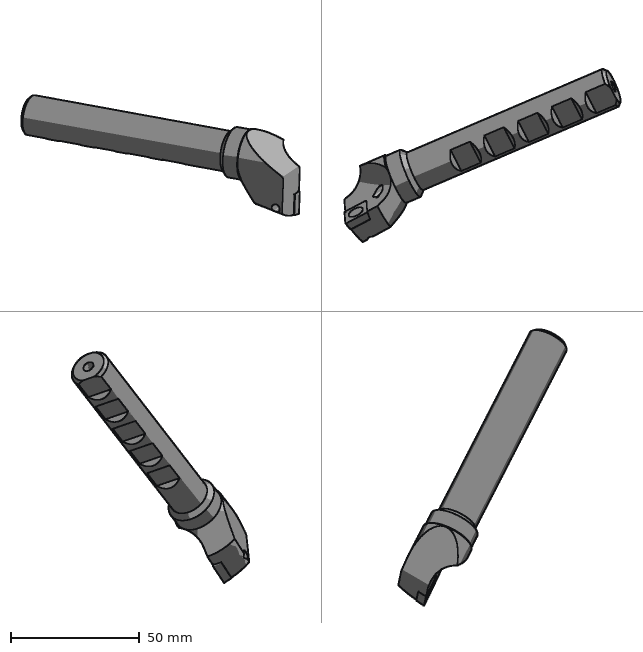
import cadquery as cq
import math


shank_radius = 16.0 / 2
rear_chamfer = 1.3
collar_radius = 20.0 / 2
collar_start = 85.0
collar_end = 93.0
collar_rise = collar_radius - shank_radius

channel_diameter = 3.3
channel_mouth = 4.4
channel_mouth_depth = 1.6
channel_bend_x = 89.7
channel_end = (101.7, 2.1, -10.4)

notch_count = 5
notch_pitch = 14.5
notch_depth = 1.7
notch_floor = 8.3
first_notch_end = 9.5

head_turn = -5.0
head_radius = 10.5
heel_x = 101.1
heel_radius = 18.3
nose_radius = 20.8
nose_x = 114.7
end_relief = 7.5
top_start_x = 93.6
top_slope = 30.6
top_lean = 8.5
top_corner_radius = 1.6

rake_y = 1.8
gullet_radius = 11.5
gullet_angle = 45.0
gullet_offset = 80.5

insert_tip_x = 115.0
insert_tip_z = -21.4
insert_side = 9.7
insert_nose_angle = 80.0
insert_thickness = 3.6
insert_clearance = 7.0
insert_corner_radius = 0.6

screw_diameter = 3.3
screw_head_diameter = 6.1
screw_head_height = (screw_head_diameter - screw_diameter) / 2
screw_length = 6.3

clear = 46.0

edge_rise = math.radians(90 - insert_nose_angle)
edge_dx = -insert_side * math.cos(edge_rise)
edge_dz = insert_side * math.sin(edge_rise)
insert_center_x = insert_tip_x + edge_dx / 2
insert_center_z = insert_tip_z + (insert_side + edge_dz) / 2


def turn_head(shape):
    """Turn a shape about the bar axis from the upright layout to its final position."""
    return shape.rotate((0, 0, 0), (1, 0, 0), head_turn)


def upright_plane(x, y, z):
    """Plane parallel to XZ whose normal is +Y, with local x along -X and local y along Z."""
    return cq.Plane(origin=(x, y, z), xDir=(-1, 0, 0), normal=(0, 1, 0))


def make_shank():
    """Turned shank with a chamfered rear end and a conical rise to the collar."""
    outline = [
        (0, 0),
        (0, shank_radius - rear_chamfer),
        (rear_chamfer, shank_radius),
        (collar_start, shank_radius),
        (collar_start + collar_rise, collar_radius),
        (collar_end, collar_radius),
        (collar_end, 0),
    ]
    return cq.Workplane("XY").polyline(outline).close().revolve(360, (0, 0, 0), (1, 0, 0))


def make_channel():
    """Coolant channel with a tapered mouth, mitred where it bends down into the gullet."""
    path = cq.Workplane("XY").polyline([(0, 0, 0), (channel_bend_x, 0, 0), channel_end])
    bore = cq.Workplane("YZ").circle(channel_diameter / 2).sweep(path, transition="right")
    mouth = cq.Solid.makeCone(
        channel_mouth / 2,
        channel_diameter / 2,
        channel_mouth_depth,
        cq.Vector(0, 0, 0),
        cq.Vector(1, 0, 0),
    )
    return bore.union(cq.Workplane(mouth))


def make_notch(end):
    """Flat-bottomed notch with 45 degree flanks, whose floor ends at x = end."""
    floor_z = notch_depth - shank_radius
    reach = 2 * notch_depth
    outline = [
        (end - notch_floor, floor_z),
        (end, floor_z),
        (end + reach, floor_z - reach),
        (end - notch_floor - reach, floor_z - reach),
    ]
    return cq.Workplane("XZ").polyline(outline).close().extrude(shank_radius, both=True)


def make_rear_flat():
    """Flat that joins the first notch to the rear end."""
    length = first_notch_end - notch_floor / 2
    return (
        cq.Workplane("XY", origin=(0, 0, notch_depth - shank_radius))
        .rect(2 * length, 2 * shank_radius)
        .extrude(-2 * notch_depth)
    )


def make_head_blank():
    """Two cones about the bar axis, trimmed to a round top and a flat -Y side."""
    outline = [
        (collar_end, 0),
        (collar_end, collar_radius),
        (heel_x, heel_radius),
        (insert_tip_x, nose_radius),
        (insert_tip_x, 0),
    ]
    cones = cq.Workplane("XY").polyline(outline).close().revolve(360, (0, 0, 0), (1, 0, 0))
    diagonal = head_radius * math.sqrt(0.5)
    section = (
        cq.Workplane("YZ")
        .moveTo(-head_radius, 0)
        .threePointArc((0, head_radius), (diagonal, -diagonal))
        .lineTo(diagonal, -clear)
        .lineTo(-head_radius, -clear)
        .close()
        .extrude(insert_tip_x)
    )
    return cones.intersect(section)


def make_top_cutter():
    """Block above the sloping top face, which starts just ahead of the collar."""
    slope = math.radians(top_slope)
    lean = math.radians(top_lean)
    origin = (top_start_x, -head_radius * math.sin(lean), head_radius * math.cos(lean))
    normal = (
        math.sin(slope),
        -math.sin(lean) * math.cos(slope),
        math.cos(lean) * math.cos(slope),
    )
    plane = cq.Plane(origin=origin, xDir=(math.cos(slope), 0, -math.sin(slope)), normal=normal)
    return cq.Workplane(plane).rect(2 * clear, 2 * clear).extrude(clear)


def make_end_cutter():
    """Block beyond the end face, which leans back towards -Y for clearance."""
    relief = math.radians(end_relief)
    normal = (math.cos(relief), -math.sin(relief), 0)
    plane = cq.Plane(origin=(nose_x, rake_y, 0), xDir=(0, 0, 1), normal=normal)
    return cq.Workplane(plane).rect(2 * clear, 2 * clear).extrude(clear)


def make_gullet():
    """Chip gullet: a concave wall that runs out tangentially into the flat rake face."""
    angle = math.radians(gullet_angle)
    across = (math.sin(angle), 0, -math.cos(angle))
    along = (math.cos(angle), 0, math.sin(angle))
    origin = tuple(gullet_offset * part for part in across)
    center_y = rake_y + gullet_radius
    mid = gullet_radius * math.sqrt(0.5)
    return (
        cq.Workplane(cq.Plane(origin=origin, xDir=across, normal=along))
        .moveTo(-gullet_radius, center_y)
        .threePointArc((-mid, center_y - mid), (0, rake_y))
        .lineTo(clear, rake_y)
        .lineTo(clear, center_y)
        .close()
        .extrude(4 * clear, both=True)
    )


def make_head():
    """Head with its sloping top, rounded front corner and chip gullet."""
    head = make_head_blank().cut(make_top_cutter()).cut(make_end_cutter())
    top_drop = (nose_x - top_start_x) * math.tan(math.radians(top_slope))
    front_corner = cq.selectors.NearestToPointSelector((nose_x, 0, head_radius - top_drop))
    head = head.edges(front_corner).fillet(top_corner_radius)
    return head.cut(make_gullet())


def make_insert_blank():
    """Rhombic plate, flush with the rake face, with sides tapered for clearance."""
    outline = [
        (0, 0),
        (0, insert_side),
        (-edge_dx, insert_side + edge_dz),
        (-edge_dx, edge_dz),
    ]
    plate = (
        cq.Workplane(upright_plane(insert_tip_x, rake_y, insert_tip_z))
        .polyline(outline)
        .close()
        .extrude(-insert_thickness, taper=insert_clearance)
    )
    return plate.edges("not #Y").fillet(insert_corner_radius)


def make_screw():
    """Countersunk screw, flush with the rake face, normal to it at the insert centre."""
    outline = [
        (0, 0),
        (screw_head_diameter / 2, 0),
        (screw_diameter / 2, -screw_head_height),
        (screw_diameter / 2, -screw_length),
        (0, -screw_length),
    ]
    plane = cq.Plane(origin=(insert_center_x, rake_y, insert_center_z), xDir=(1, 0, 0), normal=(0, 0, 1))
    return cq.Workplane(plane).polyline(outline).close().revolve(360, (0, 0, 0), (0, 1, 0))


def make_screw_hole():
    """Hole through the full thickness of the head, on the screw axis."""
    plane = upright_plane(insert_center_x, rake_y, insert_center_z)
    return cq.Workplane(plane).circle(screw_diameter / 2).extrude(-clear)


def make_holder():
    """Shank, collar and head as one solid, with its seats and the coolant channel."""
    shank = make_shank().cut(make_rear_flat())
    for index in range(notch_count):
        shank = shank.cut(make_notch(first_notch_end + index * notch_pitch))
    head = make_head().cut(make_insert_blank()).cut(make_screw_hole())
    return shank.union(turn_head(head)).cut(make_channel())


holder = make_holder()
insert = turn_head(make_insert_blank().cut(make_screw()))
screw = turn_head(make_screw())

result = cq.Compound.makeCompound([holder.val(), insert.val(), screw.val()])